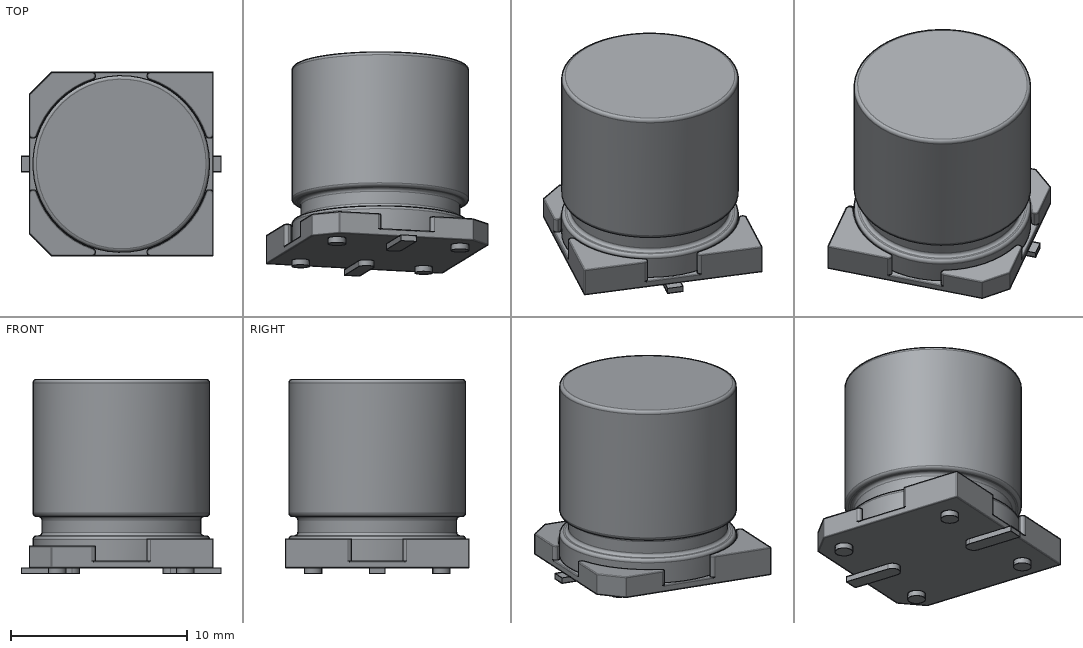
import cadquery as cq

TOTAL_HEIGHT = 11.0
STANDOFF = 0.33

CAN_RADIUS = 5.0
NECK_RADIUS = 4.5
BEAD_TOP = 2.14
CAN_BOTTOM = 3.23
CAN_ROUND = 0.2

BASE_SIZE = 10.4
CORNER_CHAMFER = 1.25
FLOOR_TOP = 0.72
LOW_BLOCK_TOP = 1.57
HIGH_BLOCK_TOP = 1.97
POCKET_RADIUS = 5.05
NOTCH_WIDTH = 2.92
TIP_ROUND = 0.2
EDGE_ROUND = 0.05

FOOT_DIAMETER = 1.0
FOOT_OFFSET = 3.63
TERMINAL_SPAN = 11.3
TERMINAL_WIDTH = 0.9
TERMINAL_INNER_END = 2.35


def make_can():
    """Revolved can: bead, rolled neck and body with rounded edges."""
    r = CAN_ROUND
    neck_hollow = NECK_RADIUS + r
    bead_edge = CAN_RADIUS - r
    profile = (
        cq.Workplane("XZ")
        .moveTo(0, FLOOR_TOP)
        .lineTo(CAN_RADIUS, FLOOR_TOP)
        .lineTo(CAN_RADIUS, BEAD_TOP - r)
        .radiusArc((bead_edge, BEAD_TOP), -r)
        .lineTo(neck_hollow, BEAD_TOP)
        .radiusArc((NECK_RADIUS, BEAD_TOP + r), r)
        .lineTo(NECK_RADIUS, CAN_BOTTOM - r)
        .radiusArc((neck_hollow, CAN_BOTTOM), r)
        .lineTo(bead_edge, CAN_BOTTOM)
        .radiusArc((CAN_RADIUS, CAN_BOTTOM + r), -r)
        .lineTo(CAN_RADIUS, TOTAL_HEIGHT - r)
        .radiusArc((bead_edge, TOTAL_HEIGHT), -r)
        .lineTo(0, TOTAL_HEIGHT)
        .close()
    )
    return profile.revolve(360, (0, 0, 0), (0, 1, 0))


def make_square_plate(bottom, top):
    """Square plate with the two -X corners chamfered and all upright edges rounded."""
    plate = cq.Workplane("XY", origin=(0, 0, bottom)).rect(BASE_SIZE, BASE_SIZE).extrude(top - bottom)
    plate = plate.edges("|Z and <X").chamfer(CORNER_CHAMFER)
    return plate.edges("|Z").fillet(EDGE_ROUND)


def is_notch_edge(edge):
    """True for an upright edge standing on the side wall of a notch."""
    center = edge.Center()
    return min(abs(center.x), abs(center.y)) < NOTCH_WIDTH / 2 + EDGE_ROUND


def make_corner_blocks():
    """Four corner blocks around the round pocket, parted by a notch in each side."""
    blocks = make_square_plate(FLOOR_TOP, HIGH_BLOCK_TOP)
    floor = cq.Workplane("XY", origin=(0, 0, FLOOR_TOP))
    height = HIGH_BLOCK_TOP - FLOOR_TOP
    blocks = blocks.cut(floor.circle(POCKET_RADIUS).extrude(height))
    blocks = blocks.cut(floor.rect(NOTCH_WIDTH, BASE_SIZE).extrude(height))
    blocks = blocks.cut(floor.rect(BASE_SIZE, NOTCH_WIDTH).extrude(height))
    blocks = blocks.edges("|Z").filter(is_notch_edge).fillet(TIP_ROUND)

    half_size = BASE_SIZE / 2
    above_low = cq.Workplane("XY", origin=(-half_size / 2, 0, LOW_BLOCK_TOP))
    blocks = blocks.cut(above_low.rect(half_size, BASE_SIZE).extrude(HIGH_BLOCK_TOP - LOW_BLOCK_TOP))
    return blocks.faces("+Z").edges().fillet(EDGE_ROUND)


def make_floor_edge_cutter():
    """Bar that rounds the outer floor edge of the +Y notch."""
    outer = BASE_SIZE / 2
    length = NOTCH_WIDTH + TIP_ROUND
    return (
        cq.Workplane("YZ", origin=(-length / 2, 0, 0))
        .moveTo(outer, FLOOR_TOP)
        .lineTo(outer, FLOOR_TOP - EDGE_ROUND)
        .radiusArc((outer - EDGE_ROUND, FLOOR_TOP), -EDGE_ROUND)
        .close()
        .extrude(length)
    )


def make_base():
    """Thin plate with rounded floor edges, carrying the corner blocks."""
    plate = make_square_plate(STANDOFF, FLOOR_TOP).faces("<Z").edges().fillet(EDGE_ROUND)
    cutter = make_floor_edge_cutter()
    for side in range(4):
        plate = plate.cut(cutter.rotate((0, 0, 0), (0, 0, 1), 90 * side))
    return plate.union(make_corner_blocks())


def make_terminal():
    """Flat terminal on the +X side with a half-round inner end."""
    half_width = TERMINAL_WIDTH / 2
    tangent = TERMINAL_INNER_END + half_width
    outer = TERMINAL_SPAN / 2
    return (
        cq.Workplane("XY")
        .moveTo(outer, -half_width)
        .lineTo(outer, half_width)
        .lineTo(tangent, half_width)
        .threePointArc((TERMINAL_INNER_END, 0), (tangent, -half_width))
        .close()
        .extrude(STANDOFF)
    )


def make_feet():
    """Four round feet under the base."""
    pitch = 2 * FOOT_OFFSET
    return cq.Workplane("XY").rarray(pitch, pitch, 2, 2).circle(FOOT_DIAMETER / 2).extrude(STANDOFF)


terminal = make_terminal()
result = make_base().union(make_can()).union(make_feet()).union(terminal).union(terminal.mirror("YZ"))